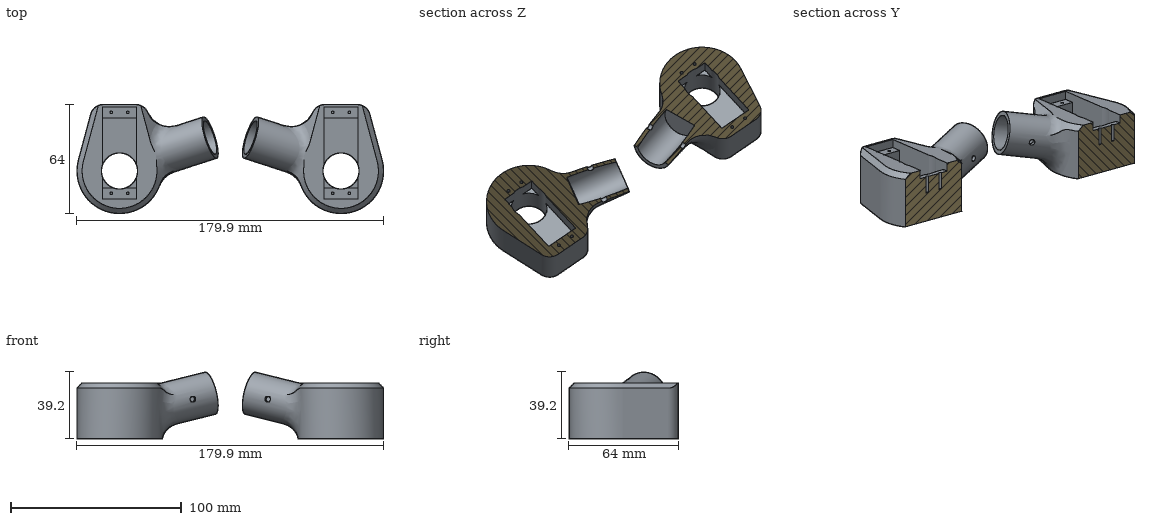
import cadquery as cq
import math

OVERALL_LENGTH = 179.9

HUB_RADIUS = 25.0
HUB_HEIGHT = 33.0
HUB_BACK_Y = 39.0
SIDE_TAPER = math.radians(15)
RIM_CHAMFER = 3.0
BACK_CORNER_RADIUS = 8.0
HUB_X = OVERALL_LENGTH / 2 - HUB_RADIUS

POCKET_WIDTH = 20.0
POCKET_LENGTH = 54.0
POCKET_BACK_WALL = 1.5
POCKET_BACK_Y = HUB_BACK_Y - POCKET_BACK_WALL
POCKET_CENTER_Y = POCKET_BACK_Y - POCKET_LENGTH / 2
POCKET_DEPTH = 18.0
LEDGE_LENGTH = 6.5
LEDGE_DEPTH = 5.0
SHAFT_HOLE_DIAMETER = 21.0
SCREW_HOLE_DIAMETER = 1.5
SCREW_HOLE_DEPTH = 10.0
SCREW_SPACING_X = 9.7
SCREW_SPACING_Y = POCKET_LENGTH - LEDGE_LENGTH

TUBE_RADIUS = 25.5 / 2
TUBE_LENGTH = 50.4
TUBE_YAW = math.radians(18)
TUBE_SLOPE = math.radians(13.3)
TUBE_MOUTH = cq.Vector(53.0, 19.6, 26.8)
TUBE_OUTWARD = cq.Vector(
    math.cos(TUBE_SLOPE) * math.cos(TUBE_YAW),
    math.cos(TUBE_SLOPE) * math.sin(TUBE_YAW),
    math.sin(TUBE_SLOPE),
)
BORE_RADIUS = 20.5 / 2
BORE_DEPTH = 30.0
PIN_HOLE_RADIUS = 3.5 / 2
PIN_HOLE_SETBACK = 15.1

WALL_BLEND_RADIUS = 14.0
SLOPE_BLEND_RADIUS = 6.5
WALL_OVERRUN = 18.0
SLOPE_OVERRUN = 3.0
SLOPE_DROP = 72.0
TUBE_OVERRUN = 90.0


def teardrop(radius, bottom, top):
    """Upright teardrop prism with a nose of the given radius and a flat back."""
    tangent_x = radius * math.cos(SIDE_TAPER)
    tangent_y = radius * math.sin(SIDE_TAPER)
    back_x = (radius - HUB_BACK_Y * math.sin(SIDE_TAPER)) / math.cos(SIDE_TAPER)
    return (
        cq.Workplane("XY", origin=(0, 0, bottom))
        .moveTo(-back_x, HUB_BACK_Y)
        .lineTo(-tangent_x, tangent_y)
        .threePointArc((0, -radius), (tangent_x, tangent_y))
        .lineTo(back_x, HUB_BACK_Y)
        .close()
        .extrude(top - bottom)
    )


def round_back_corners(prism):
    return prism.edges("|Z and >Y").fillet(BACK_CORNER_RADIUS)


def chamfer_rim(prism, size):
    """Chamfer the top rim along the sides and nose, leaving the back edge sharp."""
    return prism.faces(">Z").edges("not >Y").chamfer(size)


def tube_cylinder(radius, length, overrun=0.0):
    """Cylinder on the tube axis, reaching length inwards and overrun outwards from the mouth."""
    start = TUBE_MOUTH + TUBE_OUTWARD * overrun
    return cq.Workplane(cq.Solid.makeCylinder(radius, length + overrun, start, TUBE_OUTWARD * -1))


def blend_tube(prism, tube, radius):
    """Join the tube to a prism and fillet the curve where they meet."""
    return prism.union(tube).edges("%ELLIPSE or %BSPLINE").fillet(radius)


def make_shell():
    """Solid outer shape: chamfered hub and tube, blended into each other."""
    tube = tube_cylinder(TUBE_RADIUS, TUBE_LENGTH)

    walls = round_back_corners(teardrop(HUB_RADIUS, -WALL_OVERRUN, HUB_HEIGHT + WALL_OVERRUN))
    wall_blend = blend_tube(walls, tube, WALL_BLEND_RADIUS)

    slope_top = HUB_HEIGHT + SLOPE_OVERRUN
    slope_base_radius = HUB_RADIUS - RIM_CHAMFER - SLOPE_OVERRUN + SLOPE_DROP
    slope_base = teardrop(slope_base_radius, slope_top - 2 * SLOPE_DROP, slope_top)
    slopes = chamfer_rim(slope_base, SLOPE_DROP)
    long_tube = tube_cylinder(TUBE_RADIUS, TUBE_LENGTH, TUBE_OVERRUN)
    slope_blend = blend_tube(slopes, long_tube, SLOPE_BLEND_RADIUS)

    slab = teardrop(slope_base_radius, 0, HUB_HEIGHT)
    return wall_blend.intersect(slope_blend).intersect(slab).union(tube)


def cut_pocket(body):
    """Open the top pocket down to its ledges and, between them, to its floor."""
    pocket = cq.Workplane("XY", origin=(0, POCKET_CENTER_Y, HUB_HEIGHT))
    recess = pocket.rect(POCKET_WIDTH, POCKET_LENGTH).extrude(-LEDGE_DEPTH)
    well = pocket.rect(POCKET_WIDTH, POCKET_LENGTH - 2 * LEDGE_LENGTH).extrude(-POCKET_DEPTH)
    return body.cut(recess).cut(well)


def cut_screw_holes(body):
    """Two blind screw holes in each ledge."""
    holes = (
        cq.Workplane("XY", origin=(0, POCKET_CENTER_Y, HUB_HEIGHT - LEDGE_DEPTH))
        .rect(SCREW_SPACING_X, SCREW_SPACING_Y, forConstruction=True)
        .vertices()
        .circle(SCREW_HOLE_DIAMETER / 2)
        .extrude(-SCREW_HOLE_DEPTH)
    )
    return body.cut(holes)


def cut_shaft_hole(body):
    """Round hole through the full hub height, on the nose center."""
    return body.cut(cq.Workplane("XY").circle(SHAFT_HOLE_DIAMETER / 2).extrude(HUB_HEIGHT))


def cut_tube_holes(body):
    """Blind bore from the tube mouth, and a level pin hole across the tube."""
    bore = tube_cylinder(BORE_RADIUS, BORE_DEPTH)
    across = cq.Vector(math.sin(TUBE_YAW), -math.cos(TUBE_YAW), 0)
    pin_center = TUBE_MOUTH - TUBE_OUTWARD * PIN_HOLE_SETBACK
    pin_start = pin_center - across * (2 * TUBE_RADIUS)
    pin_hole = cq.Solid.makeCylinder(PIN_HOLE_RADIUS, 4 * TUBE_RADIUS, pin_start, across)
    return body.cut(bore).cut(cq.Workplane(pin_hole))


def make_bracket():
    """Finished bracket with the nose center of its hub on the origin."""
    body = cut_pocket(make_shell())
    body = cut_screw_holes(body)
    body = cut_shaft_hole(body)
    return cut_tube_holes(body)


left_bracket = make_bracket().translate((-HUB_X, 0, 0))
right_bracket = left_bracket.mirror("YZ")

result = cq.Compound.makeCompound([left_bracket.val(), right_bracket.val()])